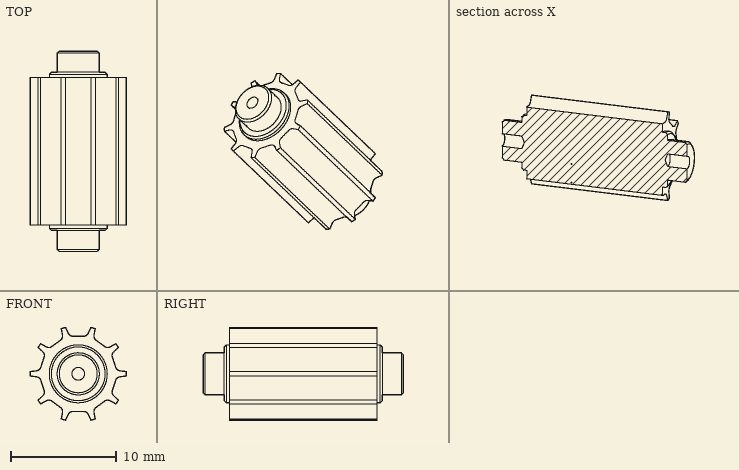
import cadquery as cq
import math

TOTAL_LENGTH = 19.0
GEAR_LENGTH = 14.0
COLLAR_LENGTH = 0.5

JOURNAL_DIAMETER = 4.0
COLLAR_DIAMETER = 5.5
EDGE_CHAMFER = 0.2

CENTRE_HOLE_DIAMETER = 1.2
CENTRE_HOLE_CONE_DEPTH = 0.25

TOOTH_COUNT = 10
TIP_RADIUS = 4.57
TIP_WIDTH = 0.44
FLANK_ANGLE = 7.0
ROOT_RADIUS = 3.605
ROOT_FILLET = 0.48

TOOTH_PITCH = 360.0 / TOOTH_COUNT
COLLAR_END = GEAR_LENGTH / 2 + COLLAR_LENGTH
SHAFT_END = TOTAL_LENGTH / 2
CENTRE_HOLE_DEPTH = SHAFT_END - COLLAR_END


def polar(radius, angle):
    """2D point at a radius and an angle in radians."""
    return (radius * math.cos(angle), radius * math.sin(angle))


def turned(point, degrees):
    """2D point turned about the origin."""
    angle = math.atan2(point[1], point[0]) + math.radians(degrees)
    return polar(math.hypot(*point), angle)


def tooth_side():
    """Upper side of the tooth along +X.

    Returns the tip corner, then the start, middle and end of the root fillet.
    The fillet is tangent to the flank and touches the root circle from outside.
    """
    half_tip = TIP_WIDTH / 2
    tip_corner = (math.sqrt(TIP_RADIUS**2 - half_tip**2), half_tip)

    normal_angle = math.radians(90 - FLANK_ANGLE)
    normal_x, normal_y = polar(1, normal_angle)
    flank_distance = tip_corner[0] * normal_x + tip_corner[1] * normal_y

    centre_radius = ROOT_RADIUS + ROOT_FILLET
    centre_angle = normal_angle - math.acos((flank_distance + ROOT_FILLET) / centre_radius)
    centre_x, centre_y = polar(centre_radius, centre_angle)

    def fillet_point(direction):
        step_x, step_y = polar(ROOT_FILLET, direction)
        return (centre_x - step_x, centre_y - step_y)

    fillet_start = fillet_point(normal_angle)
    fillet_middle = fillet_point((normal_angle + centre_angle) / 2)
    fillet_end = fillet_point(centre_angle)
    return tip_corner, fillet_start, fillet_middle, fillet_end


def gear_body():
    """Toothed section, drawn counter-clockwise tooth by tooth."""
    upper_side = tooth_side()
    lower_side = [(x, -y) for x, y in upper_side]
    outline = cq.Workplane("XZ").moveTo(*lower_side[-1])
    for index in range(TOOTH_COUNT):
        turn = index * TOOTH_PITCH
        tip_corner, fillet_start, fillet_middle, fillet_end = [turned(p, turn) for p in lower_side]
        if index > 0:
            outline = outline.lineTo(*fillet_end)
        outline = outline.threePointArc(fillet_middle, fillet_start).lineTo(*tip_corner)

        tip_middle = turned((TIP_RADIUS, 0), turn)
        tip_corner, fillet_start, fillet_middle, fillet_end = [turned(p, turn) for p in upper_side]
        outline = outline.threePointArc(tip_middle, tip_corner)
        outline = outline.lineTo(*fillet_start).threePointArc(fillet_middle, fillet_end)
    return outline.close().extrude(GEAR_LENGTH / 2, both=True)


def chamfered_cylinder(diameter, end):
    """Cylinder about Y from -end to +end with both end edges chamfered."""
    cylinder = cq.Workplane("XZ").circle(diameter / 2).extrude(end, both=True)
    return cylinder.faces("<Y or >Y").chamfer(EDGE_CHAMFER)


def centre_hole():
    """Hole with a conical bottom, drilled inward from the -Y shaft end."""
    radius = CENTRE_HOLE_DIAMETER / 2
    bottom = CENTRE_HOLE_DEPTH - SHAFT_END
    profile = (
        cq.Workplane("XY")
        .moveTo(0, -SHAFT_END)
        .lineTo(radius, -SHAFT_END)
        .lineTo(radius, bottom)
        .lineTo(0, bottom + CENTRE_HOLE_CONE_DEPTH)
        .close()
    )
    return profile.revolve(360, (0, 0, 0), (0, 1, 0))


hole = centre_hole()
result = gear_body()
result = result.union(chamfered_cylinder(COLLAR_DIAMETER, COLLAR_END))
result = result.union(chamfered_cylinder(JOURNAL_DIAMETER, SHAFT_END))
result = result.cut(hole).cut(hole.mirror("XZ"))